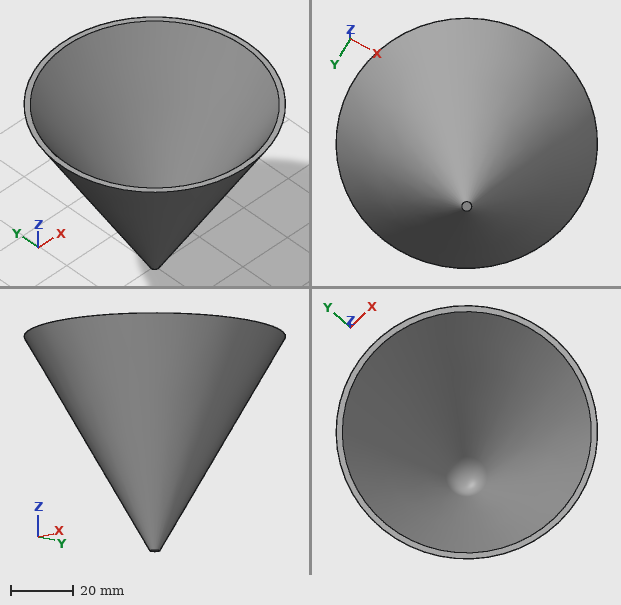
import cadquery as cq
import math

outer_radius = 42.0
height = 70.0
rim_width = 2.0
half_angle = math.radians(30)

slope = math.tan(half_angle)
tip_radius = outer_radius - height * slope
inner_radius = outer_radius - rim_width
apex_height = height - inner_radius / slope

half_section = (
    cq.Workplane("XZ")
    .moveTo(0, 0)
    .lineTo(tip_radius, 0)
    .lineTo(outer_radius, height)
    .lineTo(inner_radius, height)
    .lineTo(0, apex_height)
    .close()
)

result = half_section.revolve(360, (0, 0, 0), (0, 1, 0))